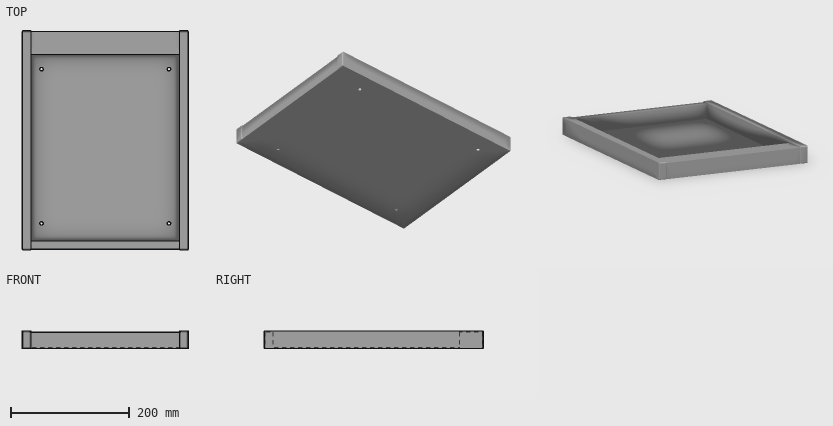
import cadquery as cq

LENGTH_X = 280.0
LENGTH_Y = 370.0
HEIGHT = 30.0

RAIL_WIDTH = 15.0
RAIL_END_RADIUS = 2.0

BAR_END_INSET = 1.0
BAR_TOP_DROP = 2.0
FRONT_BAR_WIDTH = 14.0
REAR_BAR_WIDTH = 39.0
FLOOR_THICKNESS = 2.0

HOLE_DIAMETER = 5.5
HOLE_SPACING_X = 215.0
HOLE_SPACING_Y = 260.0
HOLE_CENTER_Y = -10.0

INNER_WIDTH = LENGTH_X - 2 * RAIL_WIDTH
RAIL_CENTER_X = (LENGTH_X - RAIL_WIDTH) / 2
BAR_HEIGHT = HEIGHT - BAR_TOP_DROP
FLOOR_LENGTH = LENGTH_Y - 2 * BAR_END_INSET
FRONT_FACE_Y = -FLOOR_LENGTH / 2
REAR_FACE_Y = FLOOR_LENGTH / 2


def side_rail(center_x):
    """Rail along Y with all edges of both end faces rounded."""
    rail = cq.Workplane("XY").box(RAIL_WIDTH, LENGTH_Y, HEIGHT)
    rounded_rail = rail.faces("<Y or >Y").edges().fillet(RAIL_END_RADIUS)
    return rounded_rail.translate((center_x, 0, HEIGHT / 2))


def inner_block(y_min, length_y, height):
    """Block filling the gap between the rails, standing on the base plane."""
    block = cq.Workplane("XY").box(INNER_WIDTH, length_y, height, centered=(True, False, False))
    return block.translate((0, y_min, 0))


def floor_plate():
    """Thin floor between the rails, with four mounting holes."""
    holes = (
        cq.Workplane("XY")
        .center(0, HOLE_CENTER_Y)
        .rarray(HOLE_SPACING_X, HOLE_SPACING_Y, 2, 2)
        .circle(HOLE_DIAMETER / 2)
        .extrude(FLOOR_THICKNESS)
    )
    return inner_block(FRONT_FACE_Y, FLOOR_LENGTH, FLOOR_THICKNESS).cut(holes)


front_bar = inner_block(FRONT_FACE_Y, FRONT_BAR_WIDTH, BAR_HEIGHT)
rear_bar = inner_block(REAR_FACE_Y - REAR_BAR_WIDTH, REAR_BAR_WIDTH, BAR_HEIGHT)

result = floor_plate().union(front_bar).union(rear_bar)
for rail_x in (-RAIL_CENTER_X, RAIL_CENTER_X):
    result = result.union(side_rail(rail_x))